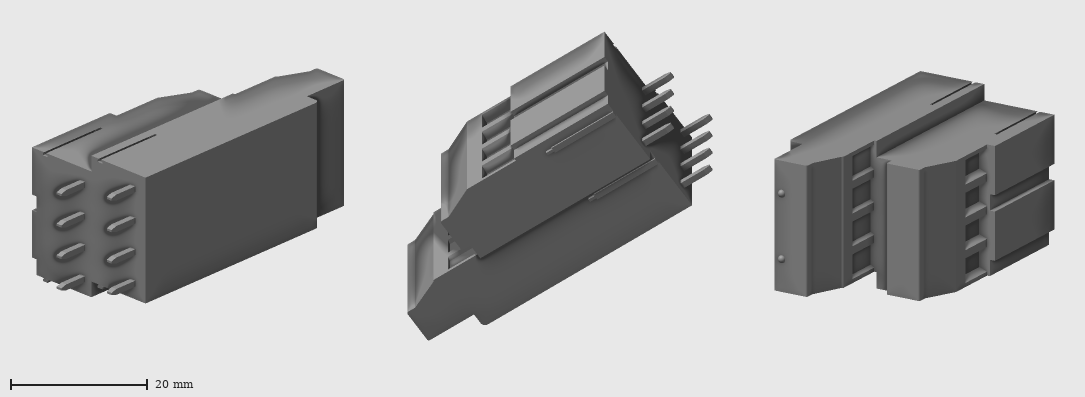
import cadquery as cq


pole_count = 4
pitch = 5.1
row_height = pole_count * pitch
rear_base_z = pitch / 2
rear_top_z = rear_base_z + row_height

overall_width = 23.1
row_split_x = 12.05
row_step_x = 11.1
front_wall_x = 1.35
rear_wall_x = front_wall_x + row_step_x
front_ledge_y = 16.5
rear_ledge_y = 29.95
front_head_y = 31.45
rear_head_y = 44.75
rear_shoulder_y = 36.7
slope_foot_drop = 6.35
slope_top_drop = 1.5
head_left_x = 3.7
head_right_x = 9.45
slope_chamfer_x = 0.25
slope_chamfer_y = 0.2
head_round = 0.3
shoulder_round = 0.8

window_height = 3.8
window_length = 6.0
front_window_depth = 1.35
rear_window_depth = 0.6
front_window_slope = 0.45
rear_window_slope = 0.35

notch_depth = 0.9
notch_height = pitch / 2

rib_x = 2.7
rib_length = 11.9
rib_flare_length = 10.8
rib_depth = 0.55
rib_neck_width = 0.45
rib_tip_width = 0.95

pin_x = 10.35
pin_row_spacing = 2 * pitch
pin_size = 0.95
pin_tip_height = 0.35
pin_tip_length = 1.0
pin_length = 5.05
pin_root = 0.5

dome_radius = 0.6
dome_height = 0.5
dome_x = 19.2
dome_poles = (1, 3)


def head_points(row_x, head_y):
    """Head outline of a row, from its right end corner round to the top of the slope."""
    return [
        (row_x + head_right_x, head_y),
        (row_x + head_left_x, head_y),
        (row_x + head_left_x, head_y - slope_top_drop),
    ]


def row_block(outline, base_z):
    block = cq.Workplane("XY", origin=(0, 0, base_z)).polyline(outline).close().extrude(row_height)
    return block.edges("|Z and >Y").fillet(head_round)


def front_row():
    outline = [
        (0, 0),
        (row_split_x, 0),
        (row_split_x, rear_ledge_y),
        (head_right_x, rear_ledge_y),
        *head_points(0, front_head_y),
        (front_wall_x, front_head_y - slope_foot_drop),
        (front_wall_x, front_ledge_y),
        (0, front_ledge_y),
    ]
    return row_block(outline, 0)


def rear_row():
    slope_foot_y = rear_head_y - slope_foot_drop
    outline = [
        (row_split_x, 0),
        (overall_width, 0),
        (overall_width, rear_shoulder_y),
        (head_right_x + row_step_x, rear_shoulder_y),
        *head_points(row_step_x, rear_head_y),
        (rear_wall_x + slope_chamfer_x, slope_foot_y + slope_chamfer_y),
        (rear_wall_x, slope_foot_y),
        (rear_wall_x, rear_ledge_y),
        (row_split_x, rear_ledge_y),
    ]
    shoulder_corner = (overall_width, rear_shoulder_y, rear_base_z + row_height / 2)
    nearest_edge = cq.selectors.NearestToPointSelector(shoulder_corner)
    return row_block(outline, rear_base_z).edges("|Z").edges(nearest_edge).fillet(shoulder_round)


def windows(wall_x, ledge_y, base_z, depth, slope):
    """Window cutters of one row, one centred on each pole."""
    cutters = cq.Workplane("XY")
    for pole in range(pole_count):
        centre_z = base_z + (pole + 0.5) * pitch
        outer = window_height / 2
        inner = outer - slope
        section = [
            (wall_x, centre_z - outer),
            (wall_x + depth, centre_z - inner),
            (wall_x + depth, centre_z + inner),
            (wall_x, centre_z + outer),
        ]
        sketch = cq.Workplane("XZ", origin=(0, ledge_y, 0)).polyline(section).close()
        cutters = cutters.add(sketch.extrude(-window_length))
    return cutters.combine()


def notch(base_z):
    block = cq.Workplane("XY").box(notch_depth, front_ledge_y, notch_height, centered=False)
    return block.translate((0, 0, base_z))


def rib(centre_x, base_z):
    """Dovetail rib hanging below base_z, ending in a straight narrow lead-in."""
    neck = rib_neck_width / 2
    tip = rib_tip_width / 2
    flare_z = base_z - rib_depth / 2
    tip_z = base_z - rib_depth
    section = [
        (centre_x - neck, base_z),
        (centre_x + neck, base_z),
        (centre_x + tip, flare_z),
        (centre_x + tip, tip_z),
        (centre_x - tip, tip_z),
        (centre_x - tip, flare_z),
    ]
    flared = cq.Workplane("XZ").polyline(section).close().extrude(-rib_flare_length)
    lead_in = cq.Workplane("XY").box(rib_neck_width, rib_length, rib_depth, centered=(True, False, False))
    return flared.union(lead_in.translate((centre_x, 0, tip_z)))


def pin(centre_x, centre_z):
    half = pin_size / 2
    half_tip = pin_tip_height / 2
    taper_y = pin_tip_length - pin_length
    side = [
        (pin_root, -half),
        (taper_y, -half),
        (-pin_length, -half_tip),
        (-pin_length, half_tip),
        (taper_y, half),
        (pin_root, half),
    ]
    blade = cq.Workplane("YZ").polyline(side).close().extrude(half, both=True)
    return blade.translate((centre_x, 0, centre_z))


def dome(centre_z):
    """Spherical cap with base radius dome_radius standing on the rear head."""
    sphere_radius = (dome_radius**2 + dome_height**2) / (2 * dome_height)
    centre_y = rear_head_y + dome_height - sphere_radius
    return cq.Workplane("XY").sphere(sphere_radius).translate((dome_x, centre_y, centre_z))


result = front_row().union(rear_row())

result = result.cut(windows(front_wall_x, front_ledge_y, 0, front_window_depth, front_window_slope))
result = result.cut(windows(rear_wall_x, rear_ledge_y, rear_base_z, rear_window_depth, rear_window_slope))

for notch_z in (0, row_height / 2):
    result = result.cut(notch(notch_z))

for centre_x, base_z in ((rib_x, 0), (rib_x + row_step_x, rear_base_z)):
    result = result.cut(rib(centre_x, base_z + row_height))
    result = result.union(rib(centre_x, base_z))

for centre_x, base_z in ((pin_x, 0), (pin_x + pin_row_spacing, rear_base_z)):
    for pole in range(pole_count):
        result = result.union(pin(centre_x, base_z + (pole + 0.5) * pitch))

for pole in dome_poles:
    result = result.union(dome(rear_top_z - pole * pitch))